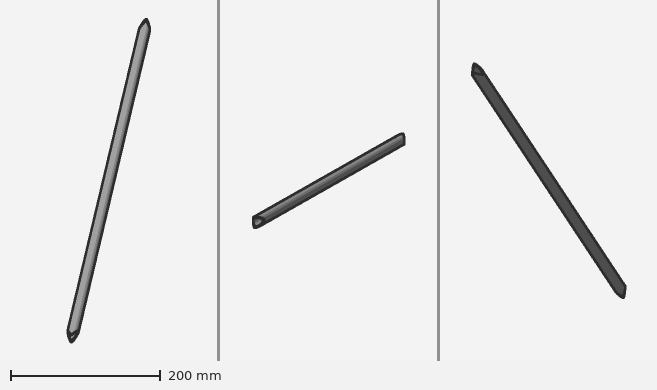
import cadquery as cq
import math

span_x = 356.5
span_y = 426.5

tube_diameter = 15.0
wall = 1.5

rail_radius = 8.5

tube_radius = tube_diameter / 2
bore_radius = tube_radius - wall
diagonal = math.hypot(span_x, span_y)
blank_length = diagonal + 4 * tube_diameter
rail_length = 6 * tube_diameter

rail_offset = math.sqrt(rail_radius**2 - tube_radius**2)


def make_tube():
    """Straight tube centred on the origin, running from -X +Y to +X -Y."""
    direction = cq.Vector(span_x, -span_y, 0)
    start = direction.normalized() * (-blank_length / 2)
    axis_plane = cq.Plane(origin=start.toTuple(), xDir=(0, 0, 1), normal=direction.toTuple())
    return cq.Workplane(axis_plane).circle(tube_radius).circle(bore_radius).extrude(blank_length)


def make_end_cutter(side):
    """Rails along X and Y at one end, with everything beyond their axes; side is -1 or +1."""
    rail_x = side * (span_x / 2 + rail_offset)
    rail_y = -side * (span_y / 2 + rail_offset)
    block_width = 2 * rail_length
    block_height = 2 * rail_radius
    along_y = cq.Workplane("XZ").circle(rail_radius).extrude(rail_length, both=True)
    along_x = cq.Workplane("YZ").circle(rail_radius).extrude(rail_length, both=True)
    block = cq.Workplane("XY").box(block_width, block_width, block_height)
    beyond_x = block.translate((side * block_width / 2, 0, 0))
    beyond_y = block.translate((0, -side * block_width / 2, 0))
    cutter = along_y.union(along_x).union(beyond_x).union(beyond_y)
    return cutter.translate((rail_x, rail_y, 0))


result = make_tube()
for side in (-1, 1):
    result = result.cut(make_end_cutter(side))